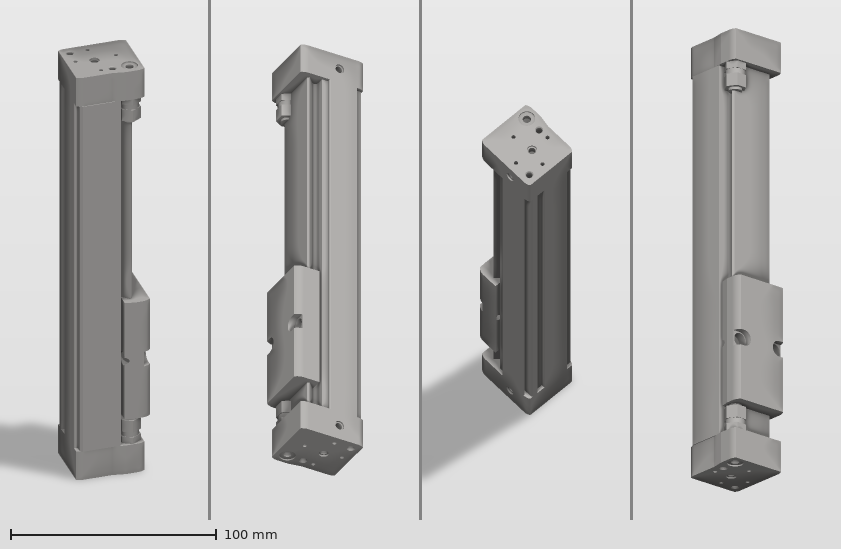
import cadquery as cq
import math

LENGTH = 225.0
CAP_LENGTH = 16.0
TUBE_LENGTH = LENGTH - 2 * CAP_LENGTH

CAP_HEIGHT = 34.6
CAP_NARROW_WIDTH = 30.0
CAP_WIDTH = 31.0
SLOPE_START_Y = 18.2
SLOPE_END_Y = 24.8
CAP_TOP_RADIUS = 6.3
CAP_TOP_DROP = 3.5
CAP_BOTTOM_RADIUS = 4.5
CAP_BOTTOM_RISE = 3.0

PORT_CENTER = (15.0, 14.0)
PORT_DIAMETER = 3.5
PORT_MOUTH_DIAMETER = 5.0
PORT_MOUTH_DEPTH = 1.0
PORT_DEPTH = 4.5
SIDE_PORT_Y = 13.5
TIE_HOLE_DIAMETER = 3.2
TIE_HOLE_MOUTH_DIAMETER = 4.0
TIE_HOLE_DEPTH = 6.8
TIE_HOLE_CENTERS = [(25.2, 19.8), (4.7, 4.7)]
SMALL_HOLE_DIAMETER = 2.0
SMALL_HOLE_DEPTH = 4.5
SMALL_HOLE_CENTERS = [(13.5, 25.5), (13.5, 4.7), (4.5, 14.0), (25.5, 14.0)]
DRILL_POINT_ANGLE = 118.0

TUBE_WIDTH = 30.4
RECESS = 1.8
EDGE_RADIUS = 0.7
LEDGE_RADIUS = 0.34
CORNER_CHAMFER = 1.1
CORNER_WALL_X = 2.2
GROOVE_START_X = 6.3
GROOVE_END_X = 10.4
PAD_END_X = 25.9
LEDGE_Y = 3.2
PAD_TOP_Y = 19.1
SHELF_Y = 22.5
NECK_TOP_Y = 29.5
NECK_EDGE_X = 3.2
NECK_CHAMFER = 1.0
NECK_ROOT_RADIUS = 1.46

CARRIAGE_LEFT = 0.7
CARRIAGE_RIGHT = CAP_WIDTH
CARRIAGE_BOTTOM = 24.5
CARRIAGE_TOP = 37.5
CARRIAGE_START_Z = 30.2
CARRIAGE_LENGTH = 65.0
CARRIAGE_TOP_RADIUS = 6.3
CARRIAGE_TOP_DROP = 4.3
LIP_SLOPE_RUN = 1.1
LIP_SLOPE_RISE = 4.7
MOUNT_HOLE_DIAMETER = 7.0
MOUNT_HOLE_INSET = 4.0
MOUNT_SLOT_WIDTH = 8.0
MOUNT_SLOT_DEPTH = 3.5

STOP_CENTER = (25.2, 28.5)
SCREW_DIAMETER = 6.8
SCREW_END_Z = CARRIAGE_START_Z
SCREW_HOLE_MOUTH_DIAMETER = 8.0
SCREW_HOLE_MOUTH_DEPTH = 0.7
SOCKET_DIAMETER = 4.0
SOCKET_DEPTH = 2.7
HEX_ACROSS_FLATS = 9.7
LOCK_NUT_THICKNESS = 3.5
COLLAR_DIAMETER = 9.5
COLLAR_THICKNESS = 2.7
BUMPER_END_Z = 28.8


def drilled_hole(diameter, depth):
    """Blind hole along +Z from the origin, with a conical bottom."""
    radius = diameter / 2
    point = radius / math.tan(math.radians(DRILL_POINT_ANGLE / 2))
    outline = [(0, 0), (radius, 0), (radius, depth), (0, depth + point)]
    return cq.Workplane("XZ").polyline(outline).close().revolve(360, (0, 0), (0, 1))


def tie_hole():
    """Drilled hole along +Z from the origin, countersunk at 45 degrees."""
    mouth_radius = TIE_HOLE_MOUTH_DIAMETER / 2
    countersink = cq.Workplane("XY").circle(mouth_radius).extrude(mouth_radius, taper=45)
    return drilled_hole(TIE_HOLE_DIAMETER, TIE_HOLE_DEPTH).union(countersink)


def stepped_port():
    """Flat-bottomed port along +Z from the origin, with a wider mouth."""
    hole = cq.Workplane("XY").circle(PORT_DIAMETER / 2).extrude(PORT_DEPTH)
    mouth = cq.Workplane("XY").circle(PORT_MOUTH_DIAMETER / 2).extrude(PORT_MOUTH_DEPTH)
    return hole.union(mouth)


def arc_inset(radius, reach):
    """Sideways inset of an arc that leaves a side tangentially and runs `reach` along it."""
    return radius - math.sqrt(radius**2 - reach**2)


def fillet_long_edges(body, points, radius):
    """Round the edges along Z that pass nearest to the given (x, y) points."""
    mid_z = LENGTH / 2
    for x, y in points:
        body = body.edges(cq.selectors.NearestToPointSelector((x, y, mid_z))).fillet(radius)
    return body


def make_cap():
    """End cap at the Z = 0 end, with its outer face on Z = 0."""
    top_inset = arc_inset(CAP_TOP_RADIUS, CAP_TOP_DROP)
    bottom_inset = arc_inset(CAP_BOTTOM_RADIUS, CAP_BOTTOM_RISE)
    top_arc_y = CAP_HEIGHT - CAP_TOP_DROP
    cap = (
        cq.Workplane("XY")
        .moveTo(bottom_inset, 0)
        .lineTo(CAP_NARROW_WIDTH - bottom_inset, 0)
        .radiusArc((CAP_NARROW_WIDTH, CAP_BOTTOM_RISE), -CAP_BOTTOM_RADIUS)
        .lineTo(CAP_NARROW_WIDTH, SLOPE_START_Y)
        .lineTo(CAP_WIDTH, SLOPE_END_Y)
        .lineTo(CAP_WIDTH, top_arc_y)
        .radiusArc((CAP_WIDTH - top_inset, CAP_HEIGHT), -CAP_TOP_RADIUS)
        .lineTo(top_inset, CAP_HEIGHT)
        .radiusArc((0, top_arc_y), -CAP_TOP_RADIUS)
        .lineTo(0, CAP_BOTTOM_RISE)
        .radiusArc((bottom_inset, 0), -CAP_BOTTOM_RADIUS)
        .close()
        .extrude(CAP_LENGTH)
    )
    cap = cap.cut(stepped_port().translate((*PORT_CENTER, 0)))
    side_port = stepped_port().rotate((0, 0, 0), (0, 1, 0), 90)
    cap = cap.cut(side_port.translate((0, SIDE_PORT_Y, CAP_LENGTH / 2)))
    for x, y in TIE_HOLE_CENTERS:
        cap = cap.cut(tie_hole().translate((x, y, 0)))
    for x, y in SMALL_HOLE_CENTERS:
        small_hole = cq.Workplane("XY").circle(SMALL_HOLE_DIAMETER / 2).extrude(SMALL_HOLE_DEPTH)
        cap = cap.cut(small_hole.translate((x, y, 0)))
    screw_hole = cq.Workplane("XY").circle(SCREW_DIAMETER / 2).extrude(CAP_LENGTH)
    mouth = cq.Workplane("XY").circle(SCREW_HOLE_MOUTH_DIAMETER / 2).extrude(SCREW_HOLE_MOUTH_DEPTH)
    return cap.cut(screw_hole.union(mouth).translate((*STOP_CENTER, 0)))


def make_tube():
    """Profiled tube between the caps, with a dovetail neck that guides the carriage."""
    neck_edge_y = NECK_TOP_Y - NECK_CHAMFER
    neck_root_x = NECK_EDGE_X + neck_edge_y - SHELF_Y
    neck_top_x = NECK_EDGE_X + NECK_CHAMFER
    outline = [
        (CORNER_WALL_X, 0),
        (GROOVE_START_X, 0),
        (GROOVE_START_X, RECESS),
        (GROOVE_END_X, RECESS),
        (GROOVE_END_X, 0),
        (PAD_END_X, 0),
        (PAD_END_X, RECESS),
        (TUBE_WIDTH - CORNER_CHAMFER, RECESS),
        (TUBE_WIDTH, RECESS + CORNER_CHAMFER),
        (TUBE_WIDTH, SHELF_Y),
        (TUBE_WIDTH - neck_root_x, SHELF_Y),
        (TUBE_WIDTH - NECK_EDGE_X, neck_edge_y),
        (TUBE_WIDTH - neck_top_x, NECK_TOP_Y),
        (neck_top_x, NECK_TOP_Y),
        (NECK_EDGE_X, neck_edge_y),
        (neck_root_x, SHELF_Y),
        (RECESS, SHELF_Y),
        (RECESS, PAD_TOP_Y),
        (0, PAD_TOP_Y),
        (0, LEDGE_Y),
        (CORNER_WALL_X, LEDGE_Y + CORNER_WALL_X),
    ]
    tube = cq.Workplane("XY").workplane(offset=CAP_LENGTH).polyline(outline).close().extrude(TUBE_LENGTH)
    pad_corners = [
        (CORNER_WALL_X, 0),
        (GROOVE_START_X, 0),
        (GROOVE_END_X, 0),
        (PAD_END_X, 0),
        (0, PAD_TOP_Y),
    ]
    tube = fillet_long_edges(tube, pad_corners, EDGE_RADIUS)
    tube = fillet_long_edges(tube, [(0, LEDGE_Y)], LEDGE_RADIUS)
    neck_roots = [(neck_root_x, SHELF_Y), (TUBE_WIDTH - neck_root_x, SHELF_Y)]
    return fillet_long_edges(tube, neck_roots, NECK_ROOT_RADIUS)


def make_carriage(tube):
    """Carriage that wraps the neck of the tube."""
    inset = arc_inset(CARRIAGE_TOP_RADIUS, CARRIAGE_TOP_DROP)
    arc_y = CARRIAGE_TOP - CARRIAGE_TOP_DROP
    carriage = (
        cq.Workplane("XY")
        .workplane(offset=CARRIAGE_START_Z)
        .moveTo(CARRIAGE_LEFT, CARRIAGE_BOTTOM)
        .lineTo(CARRIAGE_RIGHT - LIP_SLOPE_RUN, CARRIAGE_BOTTOM)
        .lineTo(CARRIAGE_RIGHT, CARRIAGE_BOTTOM + LIP_SLOPE_RISE)
        .lineTo(CARRIAGE_RIGHT, arc_y)
        .radiusArc((CARRIAGE_RIGHT - inset, CARRIAGE_TOP), -CARRIAGE_TOP_RADIUS)
        .lineTo(CARRIAGE_LEFT + inset, CARRIAGE_TOP)
        .radiusArc((CARRIAGE_LEFT, arc_y), -CARRIAGE_TOP_RADIUS)
        .close()
        .extrude(CARRIAGE_LENGTH)
        .cut(tube)
    )
    mid_z = CARRIAGE_START_Z + CARRIAGE_LENGTH / 2
    height = CARRIAGE_TOP - CARRIAGE_BOTTOM
    for side_x, inward in [(CARRIAGE_LEFT, 1), (CARRIAGE_RIGHT, -1)]:
        hole_x = side_x + inward * MOUNT_HOLE_INSET
        top = cq.Workplane("XZ", origin=(hole_x, CARRIAGE_TOP, mid_z))
        hole = top.circle(MOUNT_HOLE_DIAMETER / 2).extrude(height)
        round_end = top.circle(MOUNT_SLOT_WIDTH / 2).extrude(MOUNT_SLOT_DEPTH)
        opening = (
            top.center(-inward * MOUNT_HOLE_INSET / 2, 0)
            .rect(MOUNT_HOLE_INSET, MOUNT_SLOT_WIDTH)
            .extrude(MOUNT_SLOT_DEPTH)
        )
        carriage = carriage.cut(hole).cut(round_end).cut(opening)
    return carriage


def hexagon(start_z, end_z):
    """Hexagonal prism on the stop axis with two flats facing +Y and -Y."""
    across_corners = HEX_ACROSS_FLATS / math.cos(math.pi / 6)
    plane = cq.Workplane("XY", origin=(*STOP_CENTER, start_z))
    return plane.polygon(6, across_corners).extrude(end_z - start_z)


def make_stop_screw():
    """Screw through the cap, flush with the bottom of the hole mouth, with a round socket."""
    start_z = SCREW_HOLE_MOUTH_DEPTH
    screw = cq.Workplane("XY").circle(SCREW_DIAMETER / 2).extrude(SCREW_END_Z - start_z)
    screw = screw.cut(drilled_hole(SOCKET_DIAMETER, SOCKET_DEPTH))
    return screw.translate((*STOP_CENTER, start_z))


def make_lock_nut(screw):
    """Hexagonal nut that rests on the inner face of the cap."""
    return hexagon(CAP_LENGTH, CAP_LENGTH + LOCK_NUT_THICKNESS).cut(screw)


def make_bumper(screw):
    """Hexagonal bumper with a round collar against the lock nut."""
    collar_z = CAP_LENGTH + LOCK_NUT_THICKNESS
    hex_z = collar_z + COLLAR_THICKNESS
    plane = cq.Workplane("XY", origin=(*STOP_CENTER, collar_z))
    collar = plane.circle(COLLAR_DIAMETER / 2).extrude(COLLAR_THICKNESS)
    return collar.union(hexagon(hex_z, BUMPER_END_Z)).cut(screw)


def at_far_end(body):
    """Copy of an end body, mirrored to the Z = LENGTH end."""
    return body.mirror("XY").translate((0, 0, LENGTH))


stop_screw = make_stop_screw()
stop_hardware = [stop_screw, make_lock_nut(stop_screw), make_bumper(stop_screw)]
near_end_bodies = [make_cap(), *stop_hardware]
far_end_bodies = [at_far_end(body) for body in near_end_bodies]

tube = make_tube()
carriage = make_carriage(tube)

for hardware in stop_hardware:
    tube = tube.cut(hardware).cut(at_far_end(hardware))

bodies = [tube, carriage, *near_end_bodies, *far_end_bodies]
result = cq.Compound.makeCompound([solid for body in bodies for solid in body.solids().vals()])